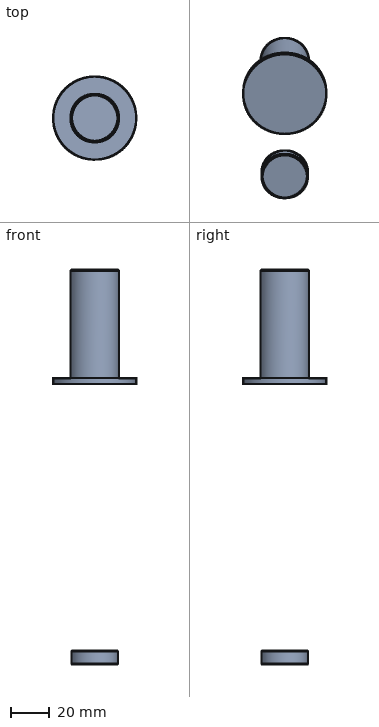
import cadquery as cq

overall_height = 204.0

flange_diameter = 43.0
flange_thickness = 3.0
shank_diameter = 25.0
pin_length = 59.2
pin_chamfer = 0.8

disc_diameter = 24.0
disc_thickness = 7.3
disc_chamfer = 0.6

pin_base_z = overall_height - pin_length


def make_flanged_pin():
    """Round shank on a thin flange, chamfered at its free end."""
    flange = cq.Workplane("XY").circle(flange_diameter / 2).extrude(flange_thickness)
    shank = (
        cq.Workplane("XY")
        .circle(shank_diameter / 2)
        .extrude(pin_length)
        .faces(">Z")
        .chamfer(pin_chamfer)
    )
    return flange.union(shank).translate((0, 0, pin_base_z))


def make_disc():
    """Plain round disc with both rims chamfered."""
    return (
        cq.Workplane("XY")
        .circle(disc_diameter / 2)
        .extrude(disc_thickness)
        .faces("<Z or >Z")
        .chamfer(disc_chamfer)
    )


flanged_pin = make_flanged_pin()
disc = make_disc()

result = cq.Compound.makeCompound([flanged_pin.val(), disc.val()])